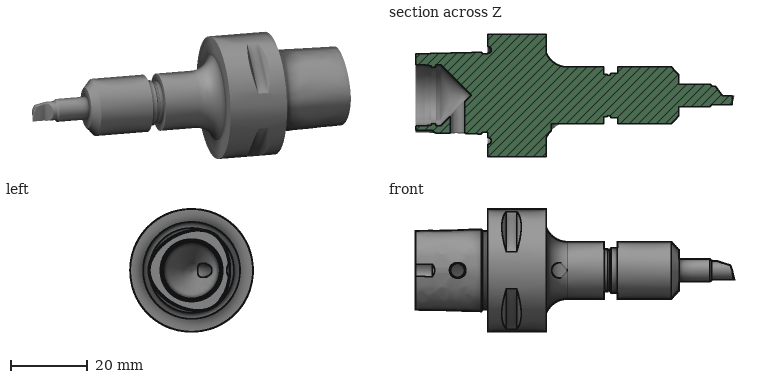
import cadquery as cq
import math

LENGTH = 83.0

TAPER_MEAN_R_SMALL = 10.3
TAPER_MEAN_R_BIG = 10.7
LOBE_HEIGHT = 0.6
CURVE_SAMPLES = 48
TAPER_END = 17.1
NECK_START = 17.5
NECK_INSET = 0.4

COLLAR_START = 18.75
COLLAR_END = 34.0
COLLAR_R = 16.0
FACE_GROOVE_INNER_R = 11.0
FACE_GROOVE_OUTER_R = 12.6
FACE_GROOVE_DEPTH = 0.9
SLOT_COUNT = 4
SLOT_X = 25.0
SLOT_FLOOR_R = 14.2
SLOT_FLOOR_WIDTH = 2.65
SLOT_MOUTH_WIDTH = 5.1

BODY_R = 7.5
FLARE_R = 11.1
FLARE_END = 39.5
BODY_END = 49.05
RELIEF_R = 5.6
RELIEF_GROOVE_R = 5.3
RELIEF_GROOVE_START = 50.0
RELIEF_GROOVE_END = 50.55
RING_START = 50.9
RING_R = 5.9

NUT_START = 52.5
NUT_CONE_START = 66.6
NUT_END = 68.55
NUT_FACE_R = 5.3

BAR_R = 3.0
BAR_SHOULDER = 76.6
TIP_START = 77.1
TIP_R = 2.5
TIP_BACK_START = 78.35
TIP_NOSE_X = 81.9
TIP_NOSE_Z = 1.3
TIP_RAKE = 0.6
SCOOP_START = 78.0
SCOOP_END = 79.85
SCOOP_MID = (79.0, 1.1)

MOUTH_R = 8.1
MOUTH_CHAMFER = 0.25
MOUTH_TAPER_START = 2.3
MOUTH_TAPER_END_R = 7.6
LIP_R = 7.3
LIP_START = 4.1
LIP_END = 5.4
UNDERCUT_R = 7.9
BORE_APEX = 14.45

KEYWAY_LENGTH = 4.3
KEYWAY_R = 2.6
KEYWAY_FLOOR_Y = -9.1
SIDE_HOLE_X = 10.95
SIDE_HOLE_R = 1.8
SIDE_HOLE_CHAMFER_R = 2.15
SPOT_FACE_X = 37.4
SPOT_FACE_R = 2.0


def lobed_section(x, mean_r):
    """Closed curve of nearly constant width, given by its support function."""

    def point(turn):
        angle = 2 * math.pi * turn
        support = mean_r + LOBE_HEIGHT * math.cos(3 * angle)
        slope = -3 * LOBE_HEIGHT * math.sin(3 * angle)
        y = support * math.cos(angle) - slope * math.sin(angle)
        z = support * math.sin(angle) + slope * math.cos(angle)
        return (x, y, z)

    points = [cq.Vector(*point(i / CURVE_SAMPLES)) for i in range(CURVE_SAMPLES)]
    return cq.Wire.assembleEdges([cq.Edge.makeSpline(points, periodic=True)])


def lobed_prism(x_start, mean_r_start, x_end, mean_r_end):
    sections = [lobed_section(x_start, mean_r_start), lobed_section(x_end, mean_r_end)]
    return cq.Workplane(cq.Solid.makeLoft(sections, True))


def coupling_shank():
    neck_mean_r = TAPER_MEAN_R_BIG - NECK_INSET
    taper = lobed_prism(0, TAPER_MEAN_R_SMALL, TAPER_END, TAPER_MEAN_R_BIG)
    chamfer = lobed_prism(TAPER_END, TAPER_MEAN_R_BIG, NECK_START, neck_mean_r)
    neck = lobed_prism(NECK_START, neck_mean_r, COLLAR_START + 2 * FACE_GROOVE_DEPTH, neck_mean_r)
    return taper.union(chamfer).union(neck)


def turned(profile):
    """Revolve an (X, radius) profile about the X axis."""
    return profile.close().revolve(360, (0, 0, 0), (1, 0, 0))


def turned_body():
    rise = FLARE_R - BODY_R
    run = FLARE_END - COLLAR_END
    flare_radius = (run**2 + rise**2) / (2 * rise)
    half_sweep = math.asin(run / flare_radius) / 2
    flare_mid = (
        FLARE_END - flare_radius * math.sin(half_sweep),
        BODY_R + flare_radius * (1 - math.cos(half_sweep)),
    )
    return turned(
        cq.Workplane("XY")
        .moveTo(COLLAR_START, 0)
        .lineTo(COLLAR_START, COLLAR_R)
        .lineTo(COLLAR_END, COLLAR_R)
        .lineTo(COLLAR_END, FLARE_R)
        .threePointArc(flare_mid, (FLARE_END, BODY_R))
        .lineTo(BODY_END, BODY_R)
        .lineTo(BODY_END, RELIEF_R)
        .lineTo(RELIEF_GROOVE_START, RELIEF_R)
        .lineTo(RELIEF_GROOVE_START, RELIEF_GROOVE_R)
        .lineTo(RELIEF_GROOVE_END, RELIEF_GROOVE_R)
        .lineTo(RING_START, RING_R)
        .lineTo(NUT_START, RING_R)
        .lineTo(NUT_START, BODY_R)
        .lineTo(NUT_CONE_START, BODY_R)
        .lineTo(NUT_END, NUT_FACE_R)
        .lineTo(NUT_END, BAR_R)
        .lineTo(BAR_SHOULDER, BAR_R)
        .lineTo(TIP_START, TIP_R)
        .lineTo(TIP_START, 0)
    )


def cutting_tip():
    tip = cq.Workplane("YZ", origin=(TIP_START, 0, 0)).circle(TIP_R).extrude(LENGTH - TIP_START)
    side = (
        cq.Workplane("XZ")
        .moveTo(TIP_START, -TIP_R)
        .lineTo(LENGTH, -TIP_R)
        .lineTo(LENGTH - TIP_RAKE, 0)
        .lineTo(TIP_NOSE_X, TIP_NOSE_Z)
        .lineTo(TIP_BACK_START, TIP_R)
        .lineTo(TIP_START, TIP_R)
        .close()
        .extrude(TIP_R, both=True)
    )
    plan = (
        cq.Workplane("XY")
        .moveTo(TIP_START, -TIP_R)
        .lineTo(LENGTH - TIP_RAKE, -TIP_R)
        .lineTo(LENGTH, 0)
        .lineTo(SCOOP_END, 0)
        .threePointArc(SCOOP_MID, (SCOOP_START, TIP_R))
        .lineTo(TIP_START, TIP_R)
        .close()
        .extrude(TIP_R, both=True)
    )
    return tip.intersect(side).intersect(plan)


def coupling_bore():
    return turned(
        cq.Workplane("XY")
        .moveTo(0, 0)
        .lineTo(0, MOUTH_R)
        .lineTo(MOUTH_CHAMFER, MOUTH_R - MOUTH_CHAMFER)
        .lineTo(MOUTH_TAPER_START, MOUTH_R - MOUTH_CHAMFER)
        .lineTo(LIP_START, MOUTH_TAPER_END_R)
        .lineTo(LIP_START, LIP_R)
        .lineTo(LIP_END, LIP_R)
        .lineTo(LIP_END, UNDERCUT_R)
        .lineTo(BORE_APEX - UNDERCUT_R, UNDERCUT_R)
        .lineTo(BORE_APEX, 0)
    )


def face_groove():
    mid_r = (FACE_GROOVE_INNER_R + FACE_GROOVE_OUTER_R) / 2
    return turned(
        cq.Workplane("XY")
        .moveTo(COLLAR_START, FACE_GROOVE_INNER_R)
        .threePointArc((COLLAR_START + FACE_GROOVE_DEPTH, mid_r), (COLLAR_START, FACE_GROOVE_OUTER_R))
    )


def wrench_slots():
    slot = (
        cq.Workplane("XZ")
        .moveTo(SLOT_X - SLOT_FLOOR_WIDTH / 2, SLOT_FLOOR_R)
        .lineTo(SLOT_X + SLOT_FLOOR_WIDTH / 2, SLOT_FLOOR_R)
        .lineTo(SLOT_X + SLOT_MOUTH_WIDTH / 2, COLLAR_R)
        .lineTo(SLOT_X - SLOT_MOUTH_WIDTH / 2, COLLAR_R)
        .close()
        .extrude(COLLAR_R, both=True)
    )
    step = 360 / SLOT_COUNT
    slots = cq.Workplane()
    for i in range(SLOT_COUNT):
        slots = slots.add(slot.rotate((0, 0, 0), (1, 0, 0), step * (i + 0.5)))
    return slots


def keyway():
    """Shallow round-bottomed groove ending in a 45 degree cone."""
    return (
        cq.Workplane("XY")
        .lineTo(0, KEYWAY_R)
        .lineTo(KEYWAY_LENGTH, KEYWAY_R)
        .lineTo(KEYWAY_LENGTH + KEYWAY_R, 0)
        .close()
        .revolve(360, (0, 0, 0), (1, 0, 0))
        .translate((0, KEYWAY_FLOOR_Y - KEYWAY_R, 0))
    )


def side_hole():
    """Radial hole from the -Y side into the bore cone, chamfered at its mouth."""
    growth = (TAPER_MEAN_R_BIG - TAPER_MEAN_R_SMALL) * SIDE_HOLE_X / TAPER_END
    wall_y = LOBE_HEIGHT - TAPER_MEAN_R_SMALL - growth
    chamfer = SIDE_HOLE_CHAMFER_R - SIDE_HOLE_R
    hole = cq.Workplane("XZ", origin=(SIDE_HOLE_X, 0, 0)).circle(SIDE_HOLE_R).extrude(COLLAR_R)
    cone = (
        cq.Workplane("XZ", origin=(SIDE_HOLE_X, wall_y + chamfer, 0))
        .circle(SIDE_HOLE_R)
        .workplane(offset=chamfer)
        .circle(SIDE_HOLE_CHAMFER_R)
        .loft()
    )
    return hole.union(cone)


def spot_face():
    """Flat-bottomed round cut into the flare, level with the body radius."""
    return cq.Workplane("XZ", origin=(SPOT_FACE_X, -BODY_R, 0)).circle(SPOT_FACE_R).extrude(COLLAR_R)


result = (
    turned_body()
    .union(coupling_shank())
    .cut(face_groove())
    .cut(wrench_slots())
    .cut(spot_face())
    .union(cutting_tip())
    .cut(coupling_bore())
    .cut(keyway())
    .cut(side_hole())
)